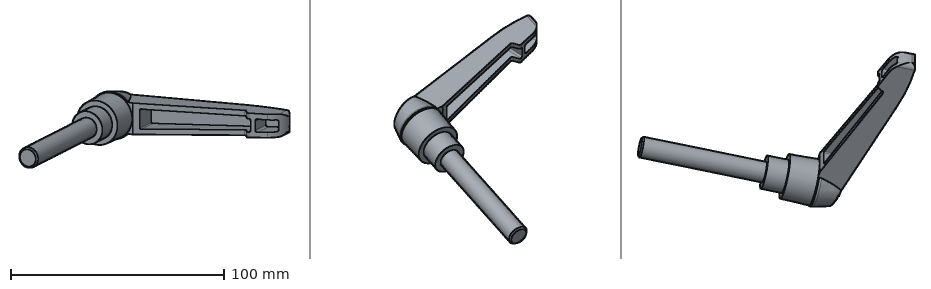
import math

import cadquery as cq


STUD_RADIUS = 5.0
STUD_BOTTOM = -60.0
STUD_TOP = 36.85
STUD_CHAMFER = 0.8

COLLAR_RADIUS = 8.0
HUB_BOTTOM = 10.0
HUB_BOTTOM_RADIUS = 10.75
HUB_MIDDLE_RADIUS = 10.9
HEAD_BOTTOM = 24.0
HUB_TOP_RADIUS = 11.2
BAND_RADIUS = 11.5
BAND_BOTTOM = 24.55
BAND_TOP = 25.6
HEAD_MIDDLE_RADIUS = 10.5
HEAD_MIDDLE = 30.0
HEAD_TOP_RADIUS = 8.8
HEAD_TOP = 36.4

ARM_TIP_X = 80.0
ARM_TOP = 53.5
TOP_ANGLE = 15.0
TOP_HEIGHT_AT_AXIS = 35.35
TOP_BEND_RADIUS = 85.0
UNDERSIDE_ANGLE = 20.0
UNDERSIDE_START_X = 11.6
HOOK_DEPTH = 4.23
HOOK_ANGLE = 55.0
HOOK_ROOT_X = 61.85
HOOK_RADIUS = 1.0
TIP_TOP_RADIUS = 2.0
TIP_BOTTOM_RADIUS = 10.0

HALF_WIDTH_AT_AXIS = 8.03
HALF_WIDTH_AT_TIP = 5.5
TIP_SIDE_RADIUS = 2.5

POCKET_ROOF = 2.5
POCKET_WALL = 2.7
LONG_POCKET_START = 14.7
LONG_POCKET_FLOOR_END = 63.1
SHORT_POCKET_START = 67.9
SHORT_POCKET_FLOOR_END = 75.6
LONG_POCKET_START_RADIUS = 0.5
POCKET_CORNER_RADIUS = 1.0

CLEARANCE = 20.0

TOP_SLOPE = math.tan(math.radians(TOP_ANGLE))
UNDERSIDE_SLOPE = math.tan(math.radians(UNDERSIDE_ANGLE))
HOOK_SLOPE = math.tan(math.radians(HOOK_ANGLE))


def top_height(x):
    """Height of the sloping upper face of hub and arm."""
    return TOP_HEIGHT_AT_AXIS + TOP_SLOPE * x


def underside_height(x):
    """Height of the arm underside between hub and hook."""
    return HEAD_BOTTOM + UNDERSIDE_SLOPE * (x - UNDERSIDE_START_X)


def half_width(x):
    """Half of the arm width along Z."""
    return HALF_WIDTH_AT_AXIS + (HALF_WIDTH_AT_TIP - HALF_WIDTH_AT_AXIS) * x / ARM_TIP_X


def corner(solid, x, y):
    """The edge along Z through the profile corner (x, y)."""
    reach = 0.01
    box = cq.selectors.BoxSelector(
        (x - reach, y - reach, -CLEARANCE), (x + reach, y + reach, CLEARANCE)
    )
    return solid.edges("|Z").edges(box)


def extrude_profile(points):
    """Prism along Z, symmetric about the XY plane, with the given XY outline."""
    return cq.Workplane("XY").polyline(points).close().extrude(CLEARANCE, both=True)


def extrude_plan(start_x, end_x, wall):
    """Tapered prism along Y whose sides lie inside the arm sides by wall."""
    start = half_width(start_x) - wall
    end = half_width(end_x) - wall
    outline = [(start_x, -start), (end_x, -end), (end_x, end), (start_x, start)]
    return cq.Workplane("XZ").polyline(outline).close().extrude(-(ARM_TOP + CLEARANCE))


def make_stud():
    length = STUD_TOP - STUD_BOTTOM
    stud = cq.Workplane("XZ", origin=(0, STUD_BOTTOM, 0)).circle(STUD_RADIUS).extrude(-length)
    return stud.faces("<Y or >Y").chamfer(STUD_CHAMFER)


def make_hub():
    hub = (
        cq.Workplane("XY")
        .lineTo(COLLAR_RADIUS, 0)
        .lineTo(COLLAR_RADIUS, HUB_BOTTOM)
        .lineTo(HUB_BOTTOM_RADIUS, HUB_BOTTOM)
        .threePointArc(
            (HUB_MIDDLE_RADIUS, (HUB_BOTTOM + HEAD_BOTTOM) / 2), (HUB_TOP_RADIUS, HEAD_BOTTOM)
        )
        .lineTo(BAND_RADIUS, BAND_BOTTOM)
        .lineTo(BAND_RADIUS, BAND_TOP)
        .threePointArc((HEAD_MIDDLE_RADIUS, HEAD_MIDDLE), (HEAD_TOP_RADIUS, HEAD_TOP))
        .lineTo(0, HEAD_TOP)
        .close()
        .revolve(360, (0, 0, 0), (0, 1, 0))
    )
    left = -CLEARANCE
    right = CLEARANCE
    above = extrude_profile(
        [(left, top_height(left)), (right, top_height(right)), (left, top_height(right))]
    )
    return hub.cut(above)


def make_arm():
    hook_root = (HOOK_ROOT_X, underside_height(HOOK_ROOT_X))
    drop = HOOK_DEPTH / math.cos(math.radians(UNDERSIDE_ANGLE))
    hook_tip_x = HOOK_ROOT_X + drop / (HOOK_SLOPE + UNDERSIDE_SLOPE)
    hook_tip = (hook_tip_x, underside_height(hook_tip_x) - drop)
    tip_bottom = (ARM_TIP_X, underside_height(ARM_TIP_X) - drop)
    tip_top = (ARM_TIP_X, ARM_TOP)
    bend = ((ARM_TOP - TOP_HEIGHT_AT_AXIS) / TOP_SLOPE, ARM_TOP)
    arm = extrude_profile(
        [
            (0, HEAD_BOTTOM),
            (UNDERSIDE_START_X, HEAD_BOTTOM),
            hook_root,
            hook_tip,
            tip_bottom,
            tip_top,
            bend,
            (0, top_height(0)),
        ]
    )
    rounded_corners = [
        (hook_root, HOOK_RADIUS),
        (hook_tip, HOOK_RADIUS),
        (tip_bottom, TIP_BOTTOM_RADIUS),
        (bend, TOP_BEND_RADIUS),
    ]
    for (x, y), radius in rounded_corners:
        arm = corner(arm, x, y).fillet(radius)
    arm = corner(arm, *tip_top).fillet(TIP_TOP_RADIUS)
    plan = extrude_plan(0, ARM_TIP_X, 0).edges("|Y and >X").fillet(TIP_SIDE_RADIUS)
    return arm.intersect(plan)


def make_pocket(start_x, floor_end_x, start_radius):
    """Pocket with a floor parallel to the sloping top and an end wall square to the floor."""
    roof = POCKET_ROOF / math.cos(math.radians(TOP_ANGLE))
    floor_start = top_height(start_x) - roof
    floor_end = top_height(floor_end_x) - roof
    bottom = floor_start - CLEARANCE
    wall_bottom_x = floor_end_x + (floor_end - bottom) * TOP_SLOPE
    profile = extrude_profile(
        [
            (start_x, bottom),
            (wall_bottom_x, bottom),
            (floor_end_x, floor_end),
            (start_x, floor_start),
        ]
    )
    plan = extrude_plan(start_x, wall_bottom_x, POCKET_WALL)
    pocket = profile.intersect(plan)
    pocket = pocket.faces(">X").edges("not |Z").fillet(POCKET_CORNER_RADIUS)
    return pocket.edges("|Y and <X").fillet(start_radius)


arm = make_arm()
arm = arm.cut(make_pocket(LONG_POCKET_START, LONG_POCKET_FLOOR_END, LONG_POCKET_START_RADIUS))
arm = arm.cut(make_pocket(SHORT_POCKET_START, SHORT_POCKET_FLOOR_END, POCKET_CORNER_RADIUS))
result = make_hub().union(arm).union(make_stud())